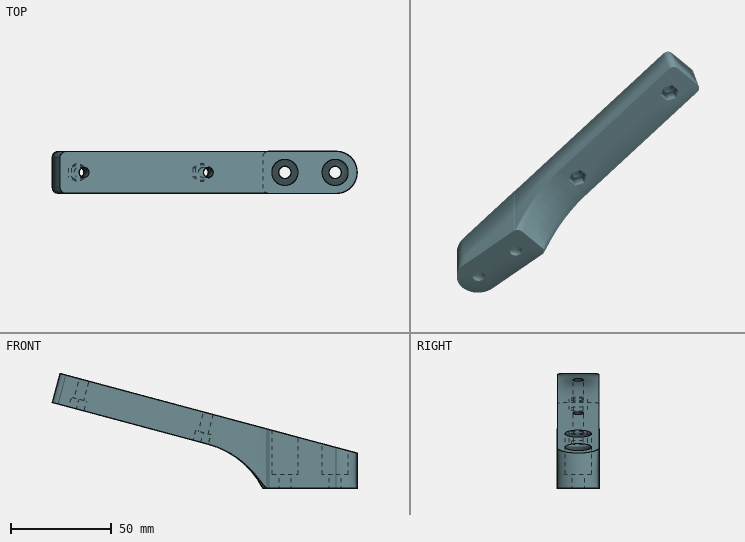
import math

import cadquery as cq

overall_length = 151.71
overall_height = 57.2

base_width = 21.09
base_flat_width = 15.0
base_length = 47.0
end_radius = base_width / 2
base_left_x = end_radius - base_length
base_corner_radius = (base_width - base_flat_width) / 2
base_corner_x = base_left_x + base_corner_radius

arm_tilt_deg = 15.0
arm_width = 20.8
arm_thickness = 15.0
arm_corner_radius = 3.0
arm_inner_end_x = -10.0

blend_start_z = 21.9

screw_hole_diameter = 6.0
counterbore_diameter = 13.0
counterbore_floor_z = 7.0
first_screw_from_end = 11.0
screw_spacing = 25.0

bolt_hole_diameter = 5.0
nut_across_flats = 7.8
nut_pocket_depth = 5.0
first_bolt_from_tip = 12.4
bolt_spacing = 64.0

tilt = math.radians(arm_tilt_deg)
tip_top_x = end_radius - overall_length + arm_thickness * math.sin(tilt)
arm_length = (arm_inner_end_x - tip_top_x) / math.cos(tilt)


def place_on_arm(shape):
    """Move a shape from the arm's own frame (origin at the tip's top edge, x along the arm)."""
    tilted = shape.rotate((0, 0, 0), (0, 1, 0), arm_tilt_deg)
    return tilted.translate((tip_top_x, 0, overall_height))


def height_below_top(x, depth):
    """Height at x of the line running `depth` beneath the sloping top face."""
    return overall_height - (x - tip_top_x) * math.tan(tilt) - depth / math.cos(tilt)


def make_base():
    block = (
        cq.Workplane("XY")
        .moveTo(base_left_x, end_radius)
        .lineTo(0, end_radius)
        .threePointArc((end_radius, 0), (0, -end_radius))
        .lineTo(base_left_x, -end_radius)
        .close()
        .extrude(overall_height)
        .edges("|Z and <X")
        .fillet(base_corner_radius)
    )
    above_slope = place_on_arm(
        cq.Workplane("XY").box(
            2 * overall_length, 2 * base_width, overall_height, centered=(False, True, False)
        )
    )
    return block.cut(above_slope)


def make_arm():
    bar = (
        cq.Workplane("XY")
        .box(arm_length, arm_width, arm_thickness, centered=(False, True, False))
        .edges("|Z and <X")
        .fillet(arm_corner_radius)
        .translate((0, 0, -arm_thickness))
    )
    return place_on_arm(bar)


def blend_profile():
    """Side outline of the blend; its arc leaves the underside of the arm tangentially."""
    start_x = tip_top_x + (height_below_top(tip_top_x, arm_thickness) - blend_start_z) / math.tan(tilt)
    chord = math.hypot(base_left_x - start_x, blend_start_z)
    chord_slope = math.atan2(blend_start_z, base_left_x - start_x)
    blend_radius = chord / (2 * math.sin(chord_slope - tilt))
    inside_arm = arm_thickness / 2
    return (
        cq.Workplane("XZ")
        .moveTo(start_x, blend_start_z)
        .radiusArc((base_left_x, 0), blend_radius)
        .lineTo(base_corner_x, 0)
        .lineTo(base_corner_x, height_below_top(base_corner_x, inside_arm))
        .lineTo(start_x, height_below_top(start_x, inside_arm))
        .close()
    )


def make_blend():
    """Blend with a straight middle and two corners turned about the axes of the base corners."""
    middle = blend_profile().extrude(base_flat_width / 2, both=True)
    quarter_turn = (
        blend_profile()
        .revolve(90, (base_corner_x, 0), (base_corner_x, 1))
        .translate((0, -base_flat_width / 2, 0))
    )
    arm_envelope = cq.Workplane("XY").box(2 * overall_length, arm_width, 2 * overall_height)
    corner = quarter_turn.intersect(arm_envelope)
    return middle.union(corner).union(corner.mirror("XZ"))


def cut_screw_holes(body):
    first_screw_x = end_radius - first_screw_from_end
    for x in (first_screw_x, first_screw_x - screw_spacing):
        hole = cq.Workplane("XY").center(x, 0).circle(screw_hole_diameter / 2).extrude(overall_height)
        counterbore = (
            cq.Workplane("XY", origin=(x, 0, counterbore_floor_z))
            .circle(counterbore_diameter / 2)
            .extrude(overall_height)
        )
        body = body.cut(hole).cut(counterbore)
    return body


def cut_bolt_holes(body):
    nut_across_corners = nut_across_flats / math.cos(math.pi / 6)
    for distance in (first_bolt_from_tip, first_bolt_from_tip + bolt_spacing):
        underside = cq.Workplane("XY", origin=(distance, 0, -arm_thickness))
        hole = underside.circle(bolt_hole_diameter / 2).extrude(arm_thickness)
        nut_pocket = (
            underside.transformed(rotate=(0, 0, 90))
            .polygon(6, nut_across_corners)
            .extrude(nut_pocket_depth)
        )
        body = body.cut(place_on_arm(hole)).cut(place_on_arm(nut_pocket))
    return body


body = make_base().union(make_arm()).union(make_blend())
body = cut_screw_holes(body)
result = cut_bolt_holes(body)